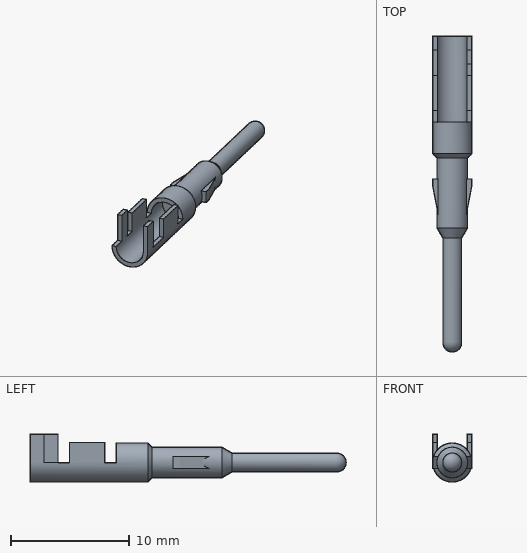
import cadquery as cq
import math

length = 26.7
pin_radius = 1.6 / 2
body_radius = 2.6 / 2
barrel_radius = 3.3 / 2
sheet_thickness = 0.4
bore_radius = barrel_radius - sheet_thickness

pin_end = 9.65
body_start = 10.5
body_end = 16.4
barrel_start = 16.77
bore_end = barrel_start + sheet_thickness
trough_start = 19.45

wire_wing_start = 20.4
wire_wing_end = 23.4
wire_wing_height = 1.7
grip_wing_length = 1.17
grip_wing_height = 2.4

barb_tip = 11.61
barb_shoulder = 14.02
barb_end = 14.63
barb_height = 1.01
barb_root_x = body_radius - sheet_thickness
barb_tip_x = math.sqrt(body_radius**2 - (barb_height / 2) ** 2)


def turned_blank():
    """Solid of revolution with a hemispherical tip."""
    tip_arc = pin_radius * math.sqrt(0.5)
    profile = (
        cq.Workplane("XY")
        .threePointArc((tip_arc, pin_radius - tip_arc), (pin_radius, pin_radius))
        .lineTo(pin_radius, pin_end)
        .lineTo(body_radius, body_start)
        .lineTo(body_radius, body_end)
        .lineTo(barrel_radius, barrel_start)
        .lineTo(barrel_radius, length)
        .lineTo(0, length)
        .close()
    )
    return profile.revolve(360, (0, 0, 0), (0, 1, 0))


def block(x_min, x_max, y_min, y_max, z_min, z_max):
    """Box given by its limits along each axis."""
    size = (x_max - x_min, y_max - y_min, z_max - z_min)
    return cq.Workplane("XY").box(*size, centered=False).translate((x_min, y_min, z_min))


def wire_bore():
    """Blind bore from the crimp end."""
    return cq.Workplane("XZ", origin=(0, length, 0)).circle(bore_radius).extrude(length - bore_end)


def wing(side, y_min, y_max, height):
    """Upright wing on the trough rim; side is -1 or +1 along X."""
    plate = block(bore_radius, barrel_radius, y_min, y_max, 0, height)
    return plate if side > 0 else plate.mirror("YZ")


def barb(side):
    """Ramp rising from the body toward a square rear shoulder."""
    ramp = (
        cq.Workplane("XY")
        .moveTo(barb_root_x, barb_tip)
        .lineTo(barb_tip_x, barb_tip)
        .lineTo(barrel_radius, barb_shoulder)
        .lineTo(barrel_radius, barb_end)
        .lineTo(barb_root_x, barb_end)
        .close()
        .extrude(barb_height / 2, both=True)
    )
    return ramp if side > 0 else ramp.mirror("YZ")


trough_opening = block(-barrel_radius, barrel_radius, trough_start, length, 0, barrel_radius)
contact = turned_blank().cut(wire_bore()).cut(trough_opening)

for side in (-1, 1):
    contact = contact.union(wing(side, wire_wing_start, wire_wing_end, wire_wing_height))
    contact = contact.union(barb(side))

for side, wing_end in ((-1, length), (1, length - grip_wing_length)):
    contact = contact.union(wing(side, wing_end - grip_wing_length, wing_end, grip_wing_height))

result = contact